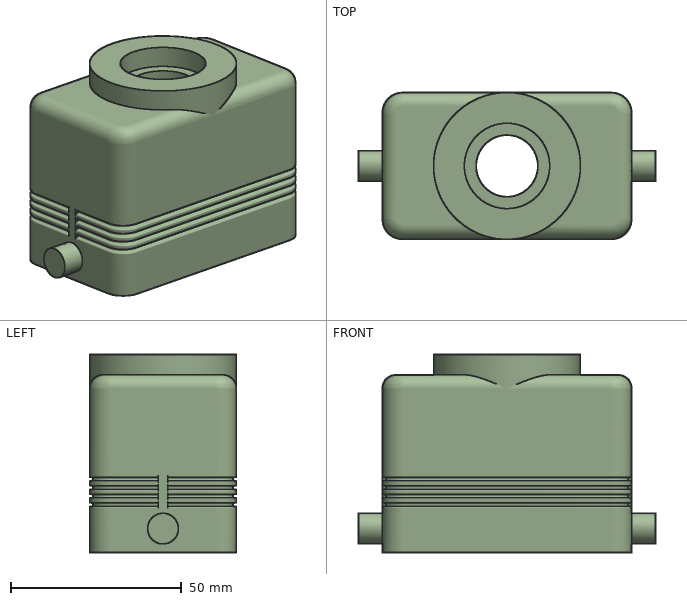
import cadquery as cq
import math

body_length = 73.0
body_width = 43.0
body_height = 52.0
corner_radius = 6.0
top_edge_radius = 4.0

roof_thickness = 3.0
cavity_length = 50.0
cavity_width = 37.0

boss_diameter = body_width
boss_height = 6.0
counterbore_diameter = 25.0
counterbore_depth = boss_height
entry_hole_diameter = 18.0

groove_count = 4
groove_pitch = 2.5
groove_width = 1.0
groove_depth = 1.05
groove_lip_radius = 0.4
lowest_groove_z = 14.0
groove_gap_width = 2.8

peg_diameter = 9.0
peg_length = 7.0
peg_z = 7.0

roof_underside_z = body_height - roof_thickness
boss_top_z = body_height + boss_height


def make_body():
    body = cq.Workplane("XY").rect(body_length, body_width).extrude(body_height)
    body = body.edges("|Z").fillet(corner_radius)
    return body.faces(">Z").edges().fillet(top_edge_radius)


def make_boss():
    """Round boss that runs down to the lower limit of the rounded top edge."""
    boss_base_z = body_height - top_edge_radius
    boss = cq.Workplane("XY").workplane(offset=boss_base_z).circle(boss_diameter / 2)
    return boss.extrude(boss_top_z - boss_base_z)


def make_groove_path(z):
    """Closed body outline at height z, starting in the middle of the front face."""
    half_length = body_length / 2
    half_width = body_width / 2
    straight_x = half_length - corner_radius
    straight_y = half_width - corner_radius
    path = cq.Workplane("XY").workplane(offset=z).moveTo(0, -half_width)
    path = path.lineTo(straight_x, -half_width).tangentArcPoint((half_length, -straight_y), relative=False)
    path = path.lineTo(half_length, straight_y).tangentArcPoint((straight_x, half_width), relative=False)
    path = path.lineTo(-straight_x, half_width).tangentArcPoint((-half_length, straight_y), relative=False)
    path = path.lineTo(-half_length, -straight_y)
    return path.tangentArcPoint((-straight_x, -half_width), relative=False).close()


def make_groove(z):
    """Ring-shaped cutter with a round bottom and rounded lips, interrupted on both end faces."""
    half_slot = groove_width / 2
    half_opening = half_slot + groove_lip_radius
    lip_inset = groove_lip_radius * (1 - math.sqrt(0.5))
    lip_mid_z = half_slot + lip_inset
    surface_y = -body_width / 2
    lip_mid_y = surface_y + lip_inset
    lip_end_y = surface_y + groove_lip_radius
    bottom_y = surface_y + groove_depth
    round_start_y = bottom_y - half_slot
    profile = (
        cq.Workplane("YZ")
        .moveTo(surface_y, z - half_opening)
        .threePointArc((lip_mid_y, z - lip_mid_z), (lip_end_y, z - half_slot))
        .lineTo(round_start_y, z - half_slot)
        .threePointArc((bottom_y, z), (round_start_y, z + half_slot))
        .lineTo(lip_end_y, z + half_slot)
        .threePointArc((lip_mid_y, z + lip_mid_z), (surface_y, z + half_opening))
        .close()
    )
    gap = cq.Workplane("XY").box(2 * body_length, groove_gap_width, 2 * body_height)
    return profile.sweep(make_groove_path(z)).cut(gap)


def make_peg(side):
    """Peg on the +X end (side = 1) or the -X end (side = -1)."""
    peg = cq.Workplane("YZ").workplane(offset=side * body_length / 2).center(0, peg_z)
    return peg.circle(peg_diameter / 2).extrude(side * peg_length)


def make_cavity():
    return cq.Workplane("XY").rect(cavity_length, cavity_width).extrude(roof_underside_z)


def make_cable_entry():
    """Stepped bore from the top of the boss into the cavity."""
    top = cq.Workplane("XY").workplane(offset=boss_top_z)
    hole = top.circle(entry_hole_diameter / 2).extrude(roof_underside_z - boss_top_z)
    counterbore = top.circle(counterbore_diameter / 2).extrude(-counterbore_depth)
    return hole.union(counterbore)


result = make_body()
for groove_index in range(groove_count):
    result = result.cut(make_groove(lowest_groove_z + groove_index * groove_pitch))
result = result.union(make_boss())
for peg_side in (-1, 1):
    result = result.union(make_peg(peg_side))
result = result.cut(make_cavity()).cut(make_cable_entry())